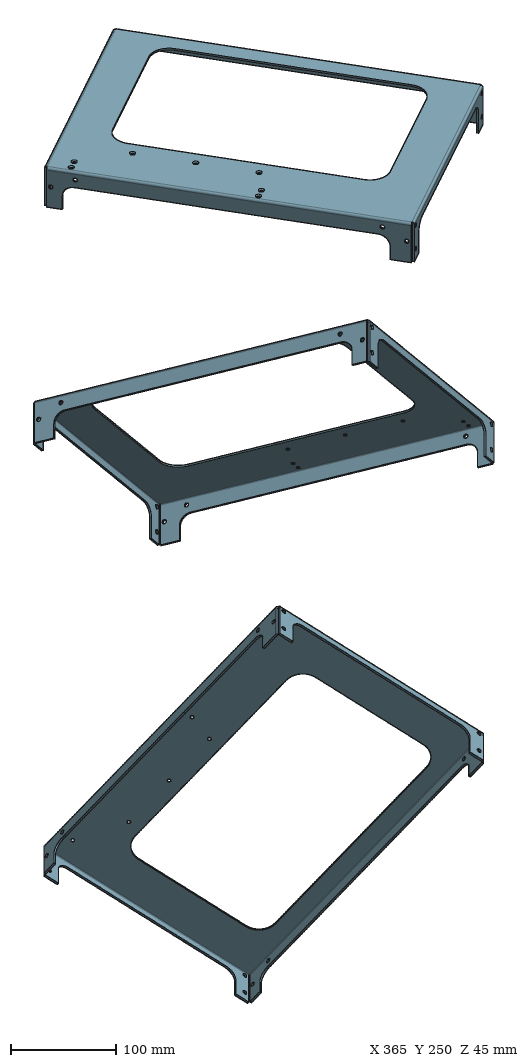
import cadquery as cq

length = 365.0
width = 250.0
height = 45.0

sheet = 2.0
bend_radius = 2.5

window_half_length = 137.0
window_back = 105.0
window_front = -64.0
window_radius = 20.0

leg_width = 18.2
wide_leg_width = 23.5
long_flange_depth = 18.0
short_flange_depth = 10.2
opening_radius = 12.0

flange_hole = 4.5
long_flange_upper_hole = (151.5, height - 9.0)
long_flange_lower_hole = (175.5, height - 21.0)
short_flange_hole_y = width / 2 - 7.3
short_flange_hole_heights = (height - 6.2, height - 33.2)

plate_hole = 3.4
countersink_diameter = 6.0
countersink_angle = 90
row_pitch = 62.5
row_center = (-45.3, -79.0)
pair_columns = (-157.3, 27.5)
pair_rows = (-107.5, -118.0)


def channel_profile(plane, span, grow, run):
    """Inverted U of folded sheet, `span` wide and extruded `run` about its middle.

    `grow` offsets the surface inward to give its inner or outer skin.
    """
    half = span / 2 - grow
    top = height - grow
    radius = bend_radius - grow
    return (
        cq.Workplane(plane)
        .moveTo(-half, 0)
        .lineTo(-half, top - radius)
        .radiusArc((-half + radius, top), radius)
        .lineTo(half - radius, top)
        .radiusArc((half, top - radius), radius)
        .lineTo(half, 0)
        .close()
        .extrude(run / 2, both=True)
    )


def opening(plane, start, end, flange_depth, run):
    """Round-cornered cut between the legs, through both opposite flanges."""
    top = height - flange_depth
    return (
        cq.Workplane(plane)
        .center((start + end) / 2, 0)
        .rect(end - start, 2 * top)
        .extrude(run / 2, both=True)
        .edges("|Y" if plane == "XZ" else "|X")
        .fillet(opening_radius)
    )


def through_holes(plane, points, diameter, run):
    return cq.Workplane(plane).pushPoints(points).circle(diameter / 2).extrude(run / 2, both=True)


inner_length = length - 2 * bend_radius
inner_width = width - 2 * bend_radius

long_flanges = channel_profile("YZ", width, 0, inner_length)
long_flanges = long_flanges.cut(channel_profile("YZ", width, sheet, inner_length))
long_flanges = long_flanges.cut(
    opening("XZ", leg_width - length / 2, length / 2 - wide_leg_width, long_flange_depth, width)
)

short_half_opening = width / 2 - leg_width
short_flanges = channel_profile("XZ", length, 0, inner_width)
short_flanges = short_flanges.cut(channel_profile("XZ", length, sheet, inner_width))
short_flanges = short_flanges.cut(opening("YZ", -short_half_opening, short_half_opening, short_flange_depth, length))

body = long_flanges.union(short_flanges)

window = (
    cq.Workplane("XY")
    .center(0, (window_back + window_front) / 2)
    .rect(2 * window_half_length, window_back - window_front)
    .extrude(height)
    .edges("|Z")
    .fillet(window_radius)
)
body = body.cut(window)

for x, z in (long_flange_upper_hole, long_flange_lower_hole):
    body = body.cut(through_holes("XZ", [(-x, z), (x, z)], flange_hole, width))

short_points = [(side * short_flange_hole_y, z) for side in (-1, 1) for z in short_flange_hole_heights]
body = body.cut(through_holes("YZ", short_points, flange_hole, length))

row_points = [(row_center[0] + step * row_pitch, row_center[1]) for step in (-1, 0, 1)]
pair_points = [(x, y) for x in pair_columns for y in pair_rows]
result = (
    body.faces(">Z")
    .workplane(origin=(0, 0, height))
    .pushPoints(row_points + pair_points)
    .cskHole(plate_hole, countersink_diameter, countersink_angle, depth=2 * sheet)
)